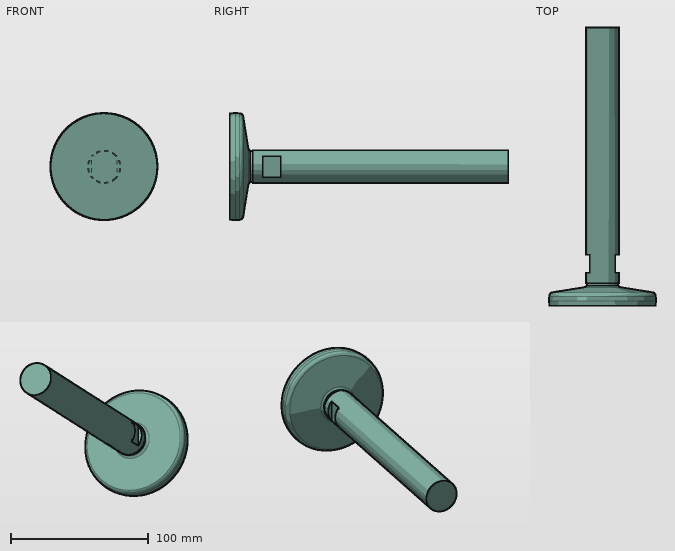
import cadquery as cq
import math

total_length = 202.0
foot_radius = 78.0 / 2
stem_radius = 24.0 / 2

face_radius = foot_radius - 0.5
rim_height = 3.8
shoulder_start = 6.9
shoulder_start_radius = foot_radius - 0.2
cone_start = 9.9
cone_start_radius = 36.4
cone_end = 13.5
cone_end_radius = 13.5
neck_bottom = 14.7
neck_top = 16.5
neck_radius = 11.3

flat_start = 24.0
flat_length = 13.0
across_flats = 18.5


def arc_midpoint(start, end, bulge):
    """Point offset from the middle of a chord, to the right of its direction."""
    dx = end[0] - start[0]
    dy = end[1] - start[1]
    chord = math.hypot(dx, dy)
    return (
        (start[0] + end[0]) / 2 + bulge * dy / chord,
        (start[1] + end[1]) / 2 - bulge * dx / chord,
    )


def turned_body():
    """Foot and stem revolved together from a half profile (radius, Y)."""
    shoulder_bulge = 0.6
    flare_bulge = -0.2
    shoulder_bottom = (shoulder_start_radius, shoulder_start)
    shoulder_top = (cone_start_radius, cone_start)
    flare_bottom = (cone_end_radius, cone_end)
    flare_top = (neck_radius, neck_bottom)
    profile = (
        cq.Workplane("XY")
        .lineTo(face_radius, 0)
        .lineTo(foot_radius, rim_height)
        .lineTo(*shoulder_bottom)
        .threePointArc(arc_midpoint(shoulder_bottom, shoulder_top, shoulder_bulge), shoulder_top)
        .lineTo(*flare_bottom)
        .threePointArc(arc_midpoint(flare_bottom, flare_top, flare_bulge), flare_top)
        .lineTo(neck_radius, neck_top)
        .lineTo(stem_radius, neck_top)
        .lineTo(stem_radius, total_length)
        .lineTo(0, total_length)
        .close()
    )
    return profile.revolve(360, (0, 0, 0), (0, 1, 0))


def flat_cutter(side):
    """Block that removes the stem outside one flat; side is -1 or +1 along X."""
    width = 2 * stem_radius
    center_x = side * (across_flats + width) / 2
    center_y = flat_start + flat_length / 2
    return cq.Workplane("XY").box(width, flat_length, width).translate((center_x, center_y, 0))


result = turned_body()
for side in (-1, 1):
    result = result.cut(flat_cutter(side))